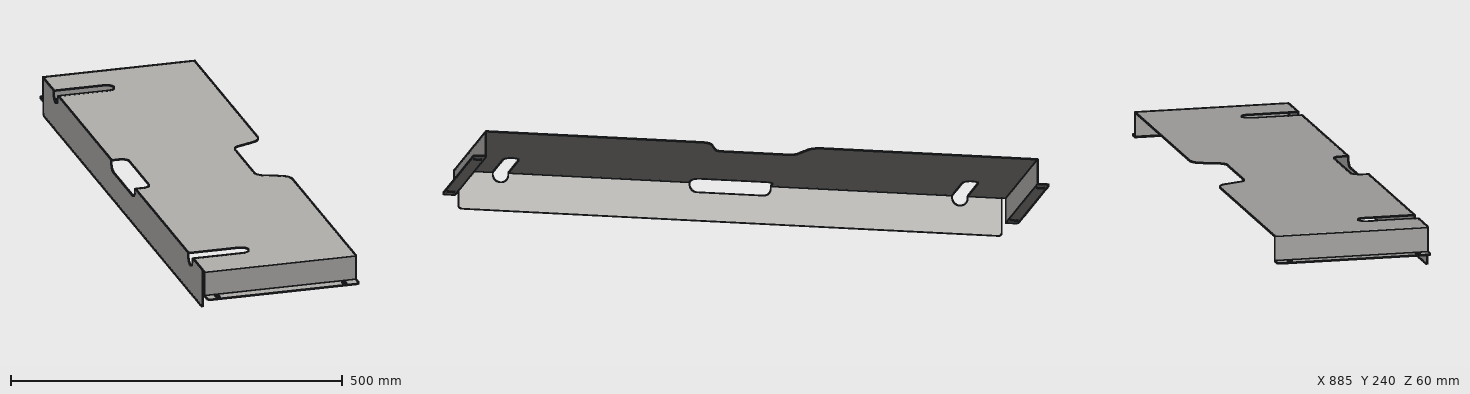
import cadquery as cq

LENGTH = 885.0
DEPTH = 240.0
HEIGHT = 60.0
SHEET = 1.5

PANEL_LENGTH = 850.0
END_WALL_HEIGHT = 40.0
FRONT_WALL_LENGTH = 835.0
BEND_RADIUS = 1.95
FRONT_CORNER_RADIUS = 5.0
FLANGE_CORNER_RADIUS = 5.0

NOTCH_TOP_WIDTH = 157.5
NOTCH_BOTTOM_WIDTH = 120.0
NOTCH_DEPTH = 48.0
NOTCH_MOUTH_RADIUS = 20.0
NOTCH_FLOOR_RADIUS = 13.0

WINDOW_LENGTH = 125.0
WINDOW_REACH = 26.0
WINDOW_DROP = 16.0
WINDOW_RADIUS = 11.5
SLOT_WIDTH = 24.0
SLOT_SPACING = 706.0
SLOT_REACH = 92.0
SLOT_DROP = 16.0

MOUNT_LENGTH = 11.0
MOUNT_WIDTH = 5.0
MOUNT_SPACING = 199.0
MOUNT_BACK_MARGIN = 21.0
MOUNT_SIDE_MARGIN = 10.0

END_FRONT = SHEET
FLANGE_Z = HEIGHT - END_WALL_HEIGHT
FLANGE_WIDTH = (LENGTH - PANEL_LENGTH) / 2 + SHEET


def box(x_min, x_max, y_min, y_max, z_min, z_max):
    """Axis-aligned block between the given limits."""
    block = cq.Workplane("XY").box(x_max - x_min, y_max - y_min, z_max - z_min, centered=False)
    return block.translate((x_min, y_min, z_min))


def end_channel():
    """Top panel with both end walls, bent round the ends."""
    half = PANEL_LENGTH / 2
    outer = box(-half, half, END_FRONT, DEPTH, FLANGE_Z, HEIGHT).edges("|Y and >Z").fillet(BEND_RADIUS)
    inner = box(-half + SHEET, half - SHEET, END_FRONT, DEPTH, FLANGE_Z, HEIGHT - SHEET)
    return outer.cut(inner)


def front_angle():
    """Front wall with the strip of top panel that it is bent from."""
    half = FRONT_WALL_LENGTH / 2
    strip_back = 2 * SHEET
    outer = box(-half, half, 0, strip_back, 0, HEIGHT).edges("|X and >Z and <Y").fillet(BEND_RADIUS)
    inner = box(-half, half, SHEET, strip_back, 0, HEIGHT - SHEET)
    return outer.cut(inner).edges("|Y and <Z").fillet(FRONT_CORNER_RADIUS)


def end_flange(side):
    """Outward foot of one end wall, with its two mounting slots."""
    flange = box(-LENGTH / 2, -LENGTH / 2 + FLANGE_WIDTH, END_FRONT, DEPTH, FLANGE_Z, FLANGE_Z + SHEET)
    flange = flange.edges("|Z and <X").fillet(FLANGE_CORNER_RADIUS)
    slot_x = -LENGTH / 2 + MOUNT_SIDE_MARGIN
    back_y = DEPTH - MOUNT_BACK_MARGIN
    slots = (
        cq.Workplane("XY", origin=(0, 0, FLANGE_Z))
        .pushPoints([(slot_x, back_y), (slot_x, back_y - MOUNT_SPACING)])
        .rect(MOUNT_LENGTH, MOUNT_WIDTH)
        .extrude(SHEET)
    )
    flange = flange.cut(slots)
    return flange if side < 0 else flange.mirror("YZ")


def back_notch():
    """Cutter for the notch, with rounded floor corners and flared mouth corners."""
    mouth = NOTCH_TOP_WIDTH / 2
    floor = NOTCH_BOTTOM_WIDTH / 2
    beyond = mouth + 2 * NOTCH_MOUTH_RADIUS
    floor_y = DEPTH - NOTCH_DEPTH
    outline = [
        (-beyond, DEPTH), (-mouth, DEPTH), (-floor, floor_y),
        (floor, floor_y), (mouth, DEPTH), (beyond, DEPTH),
        (beyond, DEPTH + NOTCH_DEPTH), (-beyond, DEPTH + NOTCH_DEPTH),
    ]
    cutter = cq.Workplane("XY", origin=(0, 0, HEIGHT - SHEET)).polyline(outline).close().extrude(SHEET)
    cutter = cutter.edges("|Z and <Y").fillet(NOTCH_FLOOR_RADIUS)
    mid_z = HEIGHT - SHEET / 2
    for mouth_x in (-mouth, mouth):
        corner = cq.selectors.NearestToPointSelector((mouth_x, DEPTH, mid_z))
        cutter = cutter.edges("|Z").edges(corner).fillet(NOTCH_MOUTH_RADIUS)
    return cutter


def window():
    """Cutter for the round-cornered window that wraps over the front bend."""
    half = WINDOW_LENGTH / 2
    wrap = box(-half, half, -WINDOW_REACH, WINDOW_REACH, HEIGHT - WINDOW_DROP, HEIGHT + WINDOW_DROP)
    on_top = wrap.edges("|Z").fillet(WINDOW_RADIUS)
    on_front = wrap.edges("|Y").fillet(WINDOW_RADIUS)
    return on_top.intersect(on_front)


def front_slot(center_x):
    """Cutter for a slot over the front bend, with a semicircular end on each face."""
    on_top = (
        cq.Workplane("XY", origin=(center_x, 0, 0))
        .slot2D(2 * SLOT_REACH, SLOT_WIDTH, 90)
        .extrude(2 * HEIGHT)
    )
    on_front = (
        cq.Workplane("XZ", origin=(center_x, 0, HEIGHT))
        .slot2D(2 * SLOT_DROP, SLOT_WIDTH, 90)
        .extrude(2 * SLOT_REACH, both=True)
    )
    return on_top.intersect(on_front)


result = end_channel().union(front_angle())
for side in (-1, 1):
    result = result.union(end_flange(side))
result = result.cut(back_notch())
result = result.cut(window())
for side in (-1, 1):
    result = result.cut(front_slot(side * SLOT_SPACING / 2))